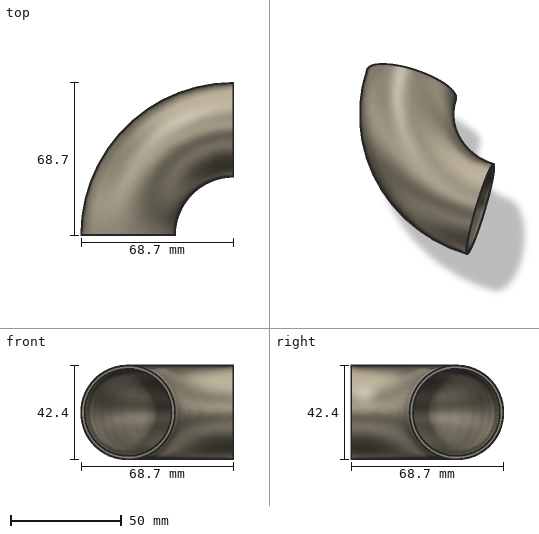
import cadquery as cq

overall_reach = 68.7
pipe_diameter = 42.4
wall_thickness = 1.6
bend_angle = 90.0

outer_radius = pipe_diameter / 2
inner_radius = outer_radius - wall_thickness
bend_radius = overall_reach - outer_radius

result = (
    cq.Workplane("XZ")
    .center(-bend_radius, 0)
    .circle(outer_radius)
    .circle(inner_radius)
    .revolve(bend_angle, (bend_radius, 0), (bend_radius, -1))
)